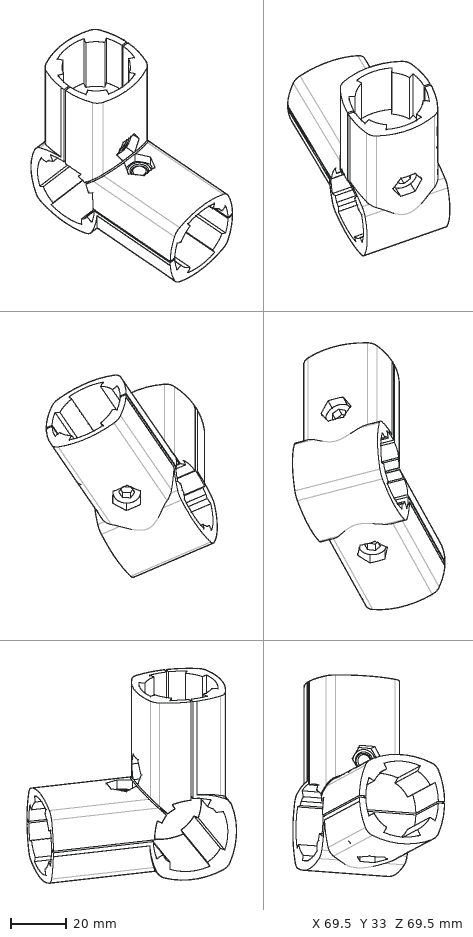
import cadquery as cq
import math


tube_width = 33.0
tube_half = tube_width / 2
side_radius = 30.0
corner_radius = 5.0

overall_length = 69.45
ring_near_reach = 17.0
ring_far_reach = 16.0
tube_end = overall_length - ring_near_reach

core_radius = 12.35
jaw_core_radius = 12.65
lobe_radius = 20.7
lobe_reach = 14.0
lobe_half_angle = 28.8
shallow_lobe_reach = 13.7
deep_lobe_reach = 14.6
wide_flank = 8.2

tooth_flat = 2.65

frame_edge = -0.4
jaw_edge = 0.2
mitre_gap = 0.6
strip_width = 1.5

screw_height = 21.5
screw_diameter = 6.0
screw_length = 20.0
screw_end_chamfer = 0.55
head_diameter = 10.0
head_height = 6.0
socket_width = 5.0
socket_depth = 3.0
socket_turn = 90
socket_cone_angle = 120.0
seat = 7.0
nut_width = 10.0
nut_height = 6.0
nut_face_diameter = 8.6
nut_chamfer_angle = 30.0
nut_countersink_diameter = 6.8

bore_floor = 2 * screw_height - lobe_reach

hex_corner_ratio = 2 / math.sqrt(3)
beyond = 2 * overall_length


def swap_x_and_z(shape):
    """Half turn about the line x = z, which carries one arm of the clamp onto the other."""
    return shape.rotate((0, 0, 0), (1, 0, 1), 180)



def bulging_tube(length, near_reach, far_reach):
    """Tube blank along +Z with four arc sides: -X and -Y at near_reach, +X and +Y at far_reach."""
    side_centres = [
        (far_reach - side_radius, 0),
        (0, far_reach - side_radius),
        (side_radius - near_reach, 0),
        (0, side_radius - near_reach),
    ]
    discs = [
        cq.Workplane("XY").center(x, y).circle(side_radius).extrude(length) for x, y in side_centres
    ]
    blank = discs[0]
    for disc in discs[1:]:
        blank = blank.intersect(disc)
    return blank.edges("|Z").fillet(corner_radius)


def radial_flank(reach):
    """Foot and end of a lobe flank that points at the bore axis."""
    angle = math.radians(lobe_half_angle)
    centre = reach - lobe_radius
    end = centre * math.cos(angle) + math.sqrt(lobe_radius**2 - (centre * math.sin(angle))**2)
    return [(r * math.cos(angle), r * math.sin(angle)) for r in (core_radius, end)]


def parallel_flank(reach):
    """Foot and end of a lobe flank that runs parallel to the lobe's own axis."""
    foot = math.sqrt(core_radius**2 - wide_flank**2)
    end = reach - lobe_radius + math.sqrt(lobe_radius**2 - wide_flank**2)
    return [(foot, wide_flank), (end, wide_flank)]


def lobe(plane, length, reach, angle, both, left_flank=radial_flank):
    """One lobe of a bore, pointing at the given angle in the plane."""
    left_foot, left_end = left_flank(reach)
    right_foot, right_end = [(u, -v) for u, v in radial_flank(reach)]
    return (
        cq.Workplane(plane)
        .transformed(rotate=(0, 0, angle))
        .lineTo(*right_foot)
        .lineTo(*right_end)
        .threePointArc((reach, 0), left_end)
        .lineTo(*left_foot)
        .close()
        .extrude(length, both=both)
    )


def regular_bore(plane, length, radius, both=False):
    """Round core of the given radius with four equal lobes."""
    bore = cq.Workplane(plane).circle(radius).extrude(length, both=both)
    for angle in (0, 90, 180, 270):
        bore = bore.union(lobe(plane, length, lobe_reach, angle, both))
    return bore


def tooth_relief(plane):
    """Flat top of the tooth at +X -Z, square to the deep lobe's flank and sloping to the wide flank."""
    angle = math.radians(lobe_half_angle)
    flat_start = (core_radius * math.cos(angle), -core_radius * math.sin(angle))
    flat_end = (
        flat_start[0] - tooth_flat * math.sin(angle),
        flat_start[1] - tooth_flat * math.cos(angle),
    )
    wide_foot = (wide_flank, -math.sqrt(core_radius**2 - wide_flank**2))
    return (
        cq.Workplane(plane)
        .polyline([(0, 0), flat_start, flat_end, wide_foot])
        .close()
        .extrude(tube_width, both=True)
    )


def ring_bore():
    """The frame's own bore along Y: shallow lobes at -X and -Z, deep lobes at +X and +Z."""
    plane = cq.Plane(origin=(0, 0, 0), xDir=(1, 0, 0), normal=(0, -1, 0))
    bore = cq.Workplane(plane).circle(core_radius).extrude(tube_width, both=True)
    for angle in (0, 90):
        bore = bore.union(lobe(plane, tube_width, deep_lobe_reach, angle, True))
    down_lobe = lobe(plane, tube_width, shallow_lobe_reach, 270, True, left_flank=parallel_flank)
    down_side = down_lobe.union(tooth_relief(plane))
    return bore.union(down_side).union(swap_x_and_z(down_side))


def hexagon(plane, width, length, turn=0):
    """Hexagonal prism with corners on the plane's local x axis, turned about its own axis."""
    return (
        cq.Workplane(plane)
        .transformed(rotate=(0, 0, turn))
        .polygon(6, width * hex_corner_ratio)
        .extrude(length)
    )


def screw_plane(distance):
    """Plane across the upright arm's screw axis, facing +X, with its local x along Y."""
    return cq.Plane(origin=(distance, 0, screw_height), xDir=(0, 1, 0), normal=(1, 0, 0))



def upright_arm():
    floor_plane = cq.Plane((0, 0, bore_floor))
    screw_hole = cq.Workplane(screw_plane(-beyond / 2)).circle(screw_diameter / 2).extrude(beyond)
    head_pocket = hexagon(screw_plane(-seat), head_diameter, -beyond)
    nut_pocket = hexagon(screw_plane(seat), nut_width, beyond)
    return (
        bulging_tube(tube_end, tube_half, tube_half)
        .cut(regular_bore(floor_plane, beyond, core_radius))
        .cut(screw_hole)
        .cut(head_pocket)
        .cut(nut_pocket)
    )



def edge_strips():
    """Flat strips beside the slot, level with the ring's end faces, down to the middle of the wall."""
    strip_depth = (tube_half - lobe_reach) / 2
    strip_offset = tube_half - strip_depth / 2
    return (
        cq.Workplane("XY")
        .pushPoints([(frame_edge - strip_width / 2, side * strip_offset) for side in (-1, 1)])
        .rect(strip_width, strip_depth)
        .extrude(tube_end)
    )


def make_frame():
    ring = (
        bulging_tube(tube_width, ring_near_reach, ring_far_reach)
        .rotate((0, 0, 0), (1, 0, 0), 90)
        .translate((0, tube_half, 0))
    )
    arm = upright_arm().union(edge_strips())
    frame_side = cq.Workplane("XY").box(beyond, beyond, beyond).translate((frame_edge - beyond / 2, 0, 0))
    arm = arm.intersect(frame_side)
    jaw_space = (
        cq.Workplane("XY")
        .box(beyond, beyond, beyond, centered=(False, True, False))
        .translate((frame_edge, 0, frame_edge))
    )
    return ring.cut(jaw_space).union(arm).union(swap_x_and_z(arm)).cut(ring_bore())



def make_jaw():
    """Inner half of the upright arm, ending in a 45 degree mitre and opening to the ring bore."""
    rise = mitre_gap / math.sqrt(2)
    keep = (
        cq.Workplane("XZ")
        .polyline([
            (jaw_edge, jaw_edge + rise),
            (beyond, beyond + rise),
            (jaw_edge, beyond + rise),
        ])
        .close()
        .extrude(tube_width, both=True)
    )
    return upright_arm().intersect(keep).cut(regular_bore("XZ", tube_width, jaw_core_radius, both=True))



def make_screw():
    """Socket head cap screw along +X, its head in the frame and its end flush with the nut."""
    socket_corner_radius = socket_width * hex_corner_ratio / 2
    cone_height = socket_corner_radius / math.tan(math.radians(socket_cone_angle / 2))
    face = -seat - head_height
    head = cq.Workplane(screw_plane(face)).circle(head_diameter / 2).extrude(head_height)
    shank = (
        cq.Workplane(screw_plane(-seat))
        .circle(screw_diameter / 2)
        .extrude(screw_length)
        .faces(">X")
        .chamfer(screw_end_chamfer)
    )
    socket = hexagon(screw_plane(face), socket_width, socket_depth, turn=socket_turn)
    cone = cq.Workplane(
        cq.Solid.makeCone(
            socket_corner_radius, 0, cone_height,
            pnt=cq.Vector(face + socket_depth, 0, screw_height), dir=cq.Vector(1, 0, 0),
        )
    )
    cone_prism = hexagon(screw_plane(face + socket_depth), socket_width, cone_height, turn=socket_turn)
    socket_bottom = cone_prism.intersect(cone)
    return head.union(shank).cut(socket).cut(socket_bottom)


def make_nut():
    """Hexagon nut on the jaw's seat, its outer face chamfered to a circle."""
    outer_face = seat + nut_height
    face_radius = nut_face_diameter / 2
    hole_radius = screw_diameter / 2
    countersink_radius = nut_countersink_diameter / 2
    countersink_depth = countersink_radius - hole_radius
    cone_depth = nut_height
    cone_radius = face_radius + cone_depth / math.tan(math.radians(nut_chamfer_angle))
    axis = cq.Vector(1, 0, 0)
    cone = cq.Solid.makeCone(
        cone_radius, face_radius, cone_depth, pnt=cq.Vector(seat, 0, screw_height), dir=axis
    )
    countersink = cq.Solid.makeCone(
        hole_radius, countersink_radius, countersink_depth,
        pnt=cq.Vector(outer_face - countersink_depth, 0, screw_height), dir=axis,
    )
    hole = cq.Workplane(screw_plane(seat)).circle(hole_radius).extrude(nut_height)
    return (
        hexagon(screw_plane(seat), nut_width, nut_height)
        .intersect(cq.Workplane(cone))
        .cut(hole)
        .cut(cq.Workplane(countersink))
    )


def on_both_arms(part):
    """The solids of a part on the upright arm and of its copy on the level arm."""
    return [copy.solids().val() for copy in (part, swap_x_and_z(part))]


frame = make_frame()
jaws = on_both_arms(make_jaw())
screws = on_both_arms(make_screw())
nuts = on_both_arms(make_nut())

result = cq.Compound.makeCompound([frame.solids().val(), *jaws, *screws, *nuts])